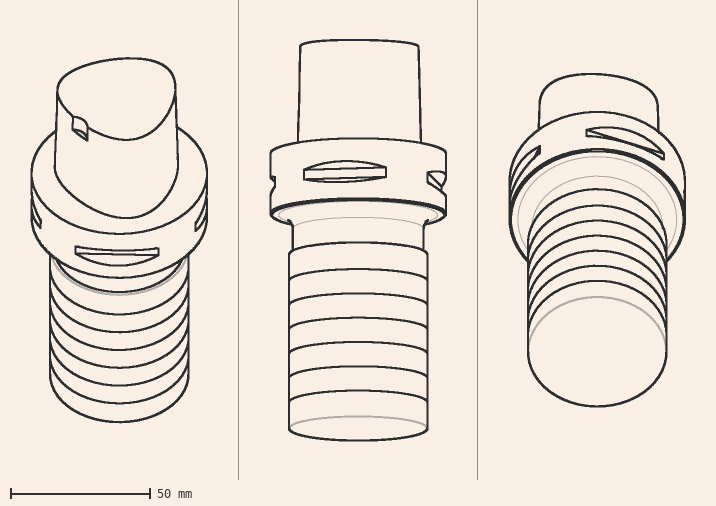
import cadquery as cq
import math

total_height = 138.2
shank_length = 38.0
flange_thickness = 22.4
flange_top = total_height - shank_length
flange_bottom = flange_top - flange_thickness

disc_count = 7
disc_diameter = 49.8
stack_height = 63.6
inner_disc_height = 8.8
bottom_disc_height = 9.5
top_disc_height = stack_height - bottom_disc_height - (disc_count - 2) * inner_disc_height
disc_edge_fillet = 0.3

flange_diameter = 63.0
flange_chamfer = 0.5
neck_diameter = 47.0
neck_fillet = 5.0

lobe_mean_radius = 22.0
lobe_eccentricity = 1.7
taper_per_side = 1 / 40
outline_points = 48

keyway_depth = 6.4
keyway_radius = 5.5
keyway_inner_y = -17.7

groove_count = 4
groove_first_angle = 45.0
groove_center_z = 88.2
groove_floor_height = 3.5
groove_mouth_height = 7.6
groove_floor_distance = 27.8


def lobe_outline(mean_radius):
    """Points of the closed three-lobed curve for one mean radius."""
    points = []
    for i in range(outline_points):
        angle = 2 * math.pi * i / outline_points
        x = mean_radius * math.sin(angle) - lobe_eccentricity * math.sin(2 * angle)
        y = mean_radius * math.cos(angle) + lobe_eccentricity * math.cos(2 * angle)
        points.append((x, y))
    return points


def make_shank():
    top_radius = lobe_mean_radius - shank_length * taper_per_side
    shank = (
        cq.Workplane("XY", origin=(0, 0, flange_top))
        .spline(lobe_outline(lobe_mean_radius), periodic=True).close()
        .workplane(offset=shank_length)
        .spline(lobe_outline(top_radius), periodic=True).close()
        .loft(combine=True)
    )
    keyway = (
        cq.Workplane("XY", origin=(0, keyway_inner_y - keyway_radius, total_height - keyway_depth))
        .circle(keyway_radius)
        .extrude(keyway_depth)
    )
    return shank.cut(keyway)


def make_flange_and_neck():
    """Revolved flange and neck, joined by a concave fillet."""
    flange_radius = flange_diameter / 2
    neck_radius = neck_diameter / 2
    arc_offset = neck_fillet * (1 - math.sqrt(0.5))
    return (
        cq.Workplane("XZ")
        .moveTo(0, stack_height)
        .lineTo(neck_radius, stack_height)
        .lineTo(neck_radius, flange_bottom - neck_fillet)
        .threePointArc(
            (neck_radius + arc_offset, flange_bottom - arc_offset),
            (neck_radius + neck_fillet, flange_bottom),
        )
        .lineTo(flange_radius - flange_chamfer, flange_bottom)
        .lineTo(flange_radius, flange_bottom + flange_chamfer)
        .lineTo(flange_radius, flange_top)
        .lineTo(0, flange_top)
        .close()
        .revolve(360, (0, 0, 0), (0, 1, 0))
    )


def make_groove(angle):
    """Straight cutter with a trapezoid section that widens outward to its mouth at the rim."""
    half_floor = groove_floor_height / 2
    half_mouth = groove_mouth_height / 2
    rim = flange_diameter / 2
    return (
        cq.Workplane("XZ", origin=(0, 0, groove_center_z))
        .polyline([
            (groove_floor_distance, -half_floor),
            (rim, -half_mouth),
            (rim, half_mouth),
            (groove_floor_distance, half_floor),
        ])
        .close()
        .extrude(rim, both=True)
        .rotate((0, 0, 0), (0, 0, 1), angle)
    )


def make_holder():
    holder = make_flange_and_neck().union(make_shank())
    for i in range(groove_count):
        holder = holder.cut(make_groove(groove_first_angle + i * 360 / groove_count))
    return holder


def make_disc(base_z, height):
    return cq.Workplane("XY", origin=(0, 0, base_z)).circle(disc_diameter / 2).extrude(height)


def make_disc_stack():
    """Separate discs resting on each other, rounded at the two free ends of the stack."""
    heights = [bottom_disc_height] + [inner_disc_height] * (disc_count - 2) + [top_disc_height]
    stack = []
    base_z = 0.0
    for height in heights:
        stack.append(make_disc(base_z, height))
        base_z += height
    stack[0] = stack[0].faces("<Z").edges().fillet(disc_edge_fillet)
    stack[-1] = stack[-1].faces(">Z").edges().fillet(disc_edge_fillet)
    return stack


holder = make_holder()
discs = make_disc_stack()

result = cq.Compound.makeCompound([holder.val(), *[disc.val() for disc in discs]])